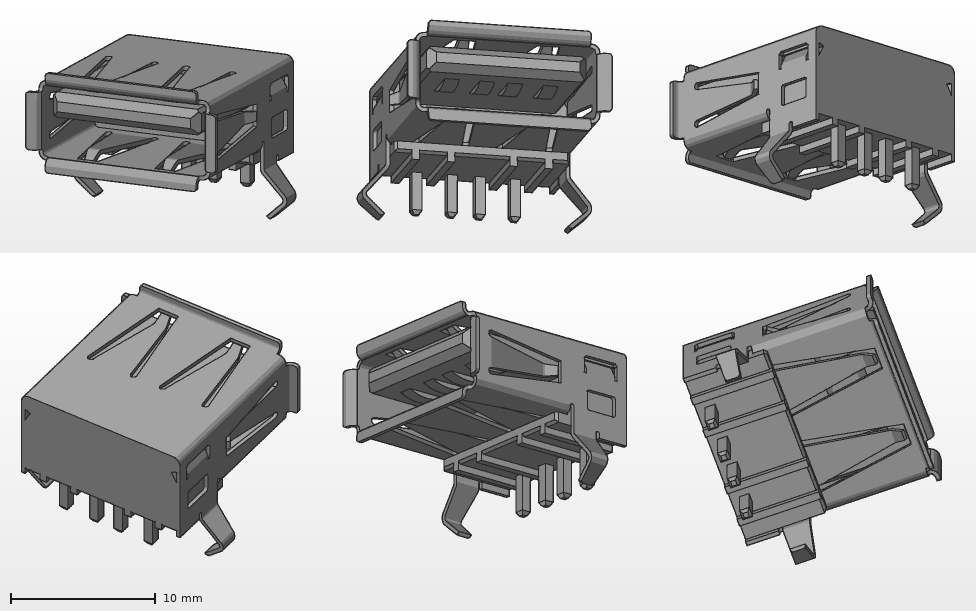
import cadquery as cq
import math


sheet = 0.3
half_width = 6.55
shell_top = 6.95
shell_bottom = 1.24
shell_front = 0.65
rear = 14.0
bend_radius = 0.6
inner_bend_radius = bend_radius - sheet
bottom_plate_rear = 9.0
mid_z = (shell_top + shell_bottom) / 2
half_height = (shell_top - shell_bottom) / 2
inner_half_width = half_width - sheet
inner_top = shell_top - sheet

flange_rise = 0.72
flange_outer_radius = shell_front
flange_inner_radius = flange_outer_radius - sheet
flange_root_fillet = 0.2
flange_corner_radius = 0.25
flange_overlap = 0.2
wide_flange_half = 5.78
side_flange_half = 2.07

slot_end_radius = 0.24
spring_root = 0.3
spring_tip_rise = 0.55
spring_bend_radius = 0.4
wide_hinge_y = 8.0
wide_spring_x = 2.97
side_hinge_y = 1.97

relief_width = 0.3
relief_top = 1.98
notch_top = 0.47
window_y = (10.5, 13.0)
window_z = (1.86, 3.36)
window_corner = 0.2
latch_window_y = (10.26, 13.17)
latch_window_z = (4.58, 5.83)
latch_window_chamfer = 0.2
latch_gap = 0.19
latch_lean = math.radians(30)
latch_bend_z = 4.78
latch_length = 0.82
latch_pocket_top = 5.64
latch_bend_radius = 0.5

leg_half_span = 8.16
leg_bottom = -3.74
leg_y = (9.3, 11.28)
leg_bend_z = -0.15
leg_bend_radius = 0.3
leg_lean = math.radians(41.3)
leg_elbow_radius = 0.6
leg_tip_half = 0.53
leg_tip_chamfer = 0.12

base_front = 8.0
base_bottom = 0.48
base_chamfer = 0.2
rib_x = (2.22, 4.74)
rib_width = 0.54
tongue_half_width = 5.66
tongue_z = (4.29, 6.12)
tongue_front = 0.55
tongue_edge_chamfer = 0.28
tongue_lead_in = 0.55

contact_x = (-3.5, -1.0, 1.0, 3.5)
contact_width = 1.04
contact_bottom = 3.92
contact_y = (2.5, 5.5)
pin_width = 0.72
pin_y = 12.98
pin_bottom = -2.5
pin_tip_length = 0.28
pin_tip_width = 0.36


def box(x, y, z):
    """Axis-aligned box from (low, high) ranges."""
    size = (x[1] - x[0], y[1] - y[0], z[1] - z[0])
    return cq.Workplane("XY").box(*size, centered=False).translate((x[0], y[0], z[0]))


def both_sides(solid):
    """The solid together with its mirror image across X = 0."""
    return solid.union(solid.mirror("YZ"))


def extrude_xz(points, y):
    """Prism along Y with an XZ outline."""
    return cq.Workplane("XZ", origin=(0, y[0], 0)).polyline(points).close().extrude(y[0] - y[1])


def offset_path(points, distance):
    """Parallel path to the right of an open path, mitred at its corners."""
    normals = []
    for (x0, z0), (x1, z1) in zip(points, points[1:]):
        length = math.hypot(x1 - x0, z1 - z0)
        normals.append(((z1 - z0) / length, (x0 - x1) / length))
    before = [normals[0]] + normals
    after = normals + [normals[-1]]
    parallel = []
    for (x, z), a, b in zip(points, before, after):
        scale = distance / (1 + a[0] * b[0] + a[1] * b[1])
        parallel.append((x + (a[0] + b[0]) * scale, z + (a[1] + b[1]) * scale))
    return parallel


def sheet_strip(points, y):
    """Bent sheet of constant thickness to the right of an XZ path."""
    outline = points + offset_path(points, sheet)[::-1]
    return extrude_xz(outline, y)


def round_bend(strip, corner, radius):
    """Round the edge of a strip that runs along Y through an XZ corner."""
    reach = sheet / 4
    near = cq.selectors.BoxSelector(
        (corner[0] - reach, -rear, corner[1] - reach),
        (corner[0] + reach, rear, corner[1] + reach),
    )
    return strip.edges("|Y").edges(near).fillet(radius)


def rounded_tube(half_x, half_z, radius, y):
    """Rounded rectangular bar along Y, centred on the shell's mouth."""
    bar = box((-half_x, half_x), y, (mid_z - half_z, mid_z + half_z))
    return bar.edges("|Y").fillet(radius)


def shell_walls():
    front_range = (shell_front, bottom_plate_rear)
    front = rounded_tube(half_width, half_height, bend_radius, front_range)
    front = front.cut(rounded_tube(inner_half_width, half_height - sheet, inner_bend_radius, front_range))
    rear_range = (bottom_plate_rear, rear)
    back = box((-half_width, half_width), rear_range, (0, shell_top))
    back = back.edges("|Y and >Z").fillet(bend_radius)
    hollow = box((-inner_half_width, inner_half_width), rear_range, (0, inner_top))
    back = back.cut(hollow.edges("|Y and >Z").fillet(inner_bend_radius))
    return front.union(back)


def flange(outer_z, half_length):
    """Flange curling upward from a horizontal wall whose outer face is at outer_z."""
    inner_z = outer_z - sheet
    bend_z = inner_z + flange_outer_radius
    tip_z = outer_z + flange_rise
    root_y = shell_front + flange_overlap
    diagonal = math.sqrt(0.5)
    profile = (
        cq.Workplane("YZ", origin=(-half_length, 0, 0))
        .moveTo(root_y, inner_z)
        .lineTo(shell_front, inner_z)
        .threePointArc(
            (shell_front - flange_outer_radius * diagonal, bend_z - flange_outer_radius * diagonal),
            (shell_front - flange_outer_radius, bend_z),
        )
        .lineTo(0, tip_z)
        .lineTo(sheet, tip_z)
        .lineTo(sheet, bend_z)
        .threePointArc(
            (shell_front - flange_inner_radius * diagonal, bend_z - flange_inner_radius * diagonal),
            (shell_front, outer_z),
        )
        .lineTo(root_y, outer_z)
        .close()
    )
    lip = profile.extrude(2 * half_length).edges("|Y and >Z").fillet(flange_corner_radius)
    root_half = half_length + flange_root_fillet
    root = box((-root_half, root_half), (shell_front - flange_root_fillet, shell_front), (inner_z, outer_z))
    for side in (-1, 1):
        corner = (side * root_half, shell_front - flange_root_fillet)
        scoop = cq.Workplane("XY", origin=(*corner, inner_z)).circle(flange_root_fillet).extrude(sheet)
        root = root.cut(scoop)
    return lip.union(root)


def about_mouth(solid, angle):
    """Turn a feature of the top wall around the mouth's axis."""
    return solid.rotate((0, 0, mid_z), (0, 1, mid_z), angle)


def all_flanges():
    top = flange(shell_top, wide_flange_half)
    side = flange(mid_z + half_width, side_flange_half)
    flanges = top.union(about_mouth(top, 180))
    return flanges.union(about_mouth(side, 90)).union(about_mouth(side, -90))


def spring_parts(root_half, bend, bend_half, tip, depth, slot_length, slot_root_half, slot_end_half):
    """Slot cutter and bent spring, hinged at the origin, running along +X, outer face at Z = 0."""
    slot_outline = [
        (0, slot_root_half),
        (slot_length, slot_end_half),
        (slot_length, -slot_end_half),
        (0, -slot_root_half),
    ]
    end_centre = slot_root_half - slot_end_radius
    level = cq.Workplane("XY", origin=(0, 0, -sheet))
    slot = level.polyline(slot_outline).close().extrude(sheet)
    ends = level.pushPoints([(0, end_centre), (0, -end_centre)]).circle(slot_end_radius).extrude(sheet)
    slot = slot.union(ends)

    path = [(-spring_root, 0), (0, 0), (bend, -depth), (tip, spring_tip_rise - depth)]
    tongue = sheet_strip(path, (-root_half, root_half))
    tongue = round_bend(tongue, path[2], spring_bend_radius)
    tongue = round_bend(tongue, offset_path(path, sheet)[2], spring_bend_radius + sheet)
    taper = (root_half - bend_half) / bend
    reach = tip + sheet
    reach_half = root_half - taper * reach
    plan = [
        (-spring_root, root_half),
        (0, root_half),
        (reach, reach_half),
        (reach, -reach_half),
        (0, -root_half),
        (-spring_root, -root_half),
    ]
    height = 2 * (depth + sheet)
    outline = cq.Workplane("XY", origin=(0, 0, -height / 2)).polyline(plan).close().extrude(height)
    return slot, tongue.intersect(outline)


def add_springs(shell):
    wide = spring_parts(
        root_half=1.53, bend=6.0, bend_half=0.48, tip=6.72, depth=0.51,
        slot_length=7.04, slot_root_half=2.0, slot_end_half=0.8,
    )
    side = spring_parts(
        root_half=1.12, bend=5.08, bend_half=0.45, tip=5.85, depth=0.45,
        slot_length=6.19, slot_root_half=1.62, slot_end_half=0.81,
    )

    def on_wide_walls(solid):
        one = solid.rotate((0, 0, 0), (0, 0, 1), -90).translate((wide_spring_x, wide_hinge_y, shell_top))
        pair = both_sides(one)
        return pair.union(about_mouth(pair, 180))

    def on_side_walls(solid):
        one = solid.rotate((0, 0, 0), (0, 0, 1), 90).translate((0, side_hinge_y, mid_z + half_width))
        return both_sides(about_mouth(one, 90))

    shell = shell.cut(on_wide_walls(wide[0])).cut(on_side_walls(side[0]))
    return shell.union(on_wide_walls(wide[1])).union(on_side_walls(side[1]))


def round_topped_notch(y, top):
    """Cutter through the right wall, open at the bottom and rounded at the top."""
    radius = (y[1] - y[0]) / 2
    centre_z = top - radius
    notch = box((inner_half_width, half_width), y, (0, centre_z))
    arch = cq.Workplane("YZ", origin=(inner_half_width, (y[0] + y[1]) / 2, centre_z))
    return notch.union(arch.circle(radius).extrude(sheet))


def wall_openings():
    wall = (inner_half_width, half_width)
    relief = round_topped_notch((bottom_plate_rear, bottom_plate_rear + relief_width), relief_top)
    notch = round_topped_notch((leg_y[1], leg_y[1] + relief_width), notch_top)
    window = box(wall, window_y, window_z).edges("|X").fillet(window_corner)
    latch_window = box(wall, latch_window_y, latch_window_z)
    latch_window = latch_window.edges("|X and >Z").chamfer(latch_window_chamfer)
    return both_sides(relief.union(notch).union(window).union(latch_window))


def latch_path():
    """Inner face of the latch, from the wall up to its free end."""
    end_x = inner_half_width - latch_length * math.sin(latch_lean)
    end_z = latch_bend_z + latch_length * math.cos(latch_lean)
    return [(inner_half_width, latch_window_z[0] - sheet), (inner_half_width, latch_bend_z), (end_x, end_z)]


def latches():
    y = (latch_window_y[0] + latch_gap, latch_window_y[1] - latch_gap)
    path = latch_path()
    latch = sheet_strip(path, y)
    latch = round_bend(latch, path[1], latch_bend_radius + sheet)
    latch = round_bend(latch, offset_path(path, sheet)[1], latch_bend_radius)
    return both_sides(latch)


def legs():
    cosine = math.cos(leg_lean)
    sine = math.sin(leg_lean)
    elbow_x = leg_half_span + leg_elbow_radius * (cosine + sine - 1)
    elbow_z = leg_bend_z - (elbow_x - half_width) * cosine / sine
    tip_x = elbow_x - (elbow_z - leg_bottom) * cosine / sine
    outer = [(half_width, sheet), (half_width, leg_bend_z), (elbow_x, elbow_z), (tip_x, leg_bottom)]
    strip = sheet_strip(outer, leg_y)
    inner = offset_path(outer, sheet)
    strip = round_bend(strip, outer[1], leg_bend_radius)
    strip = round_bend(strip, inner[1], leg_bend_radius + sheet)
    strip = round_bend(strip, outer[2], leg_elbow_radius)
    strip = round_bend(strip, inner[2], leg_elbow_radius - sheet)
    mid_y = (leg_y[0] + leg_y[1]) / 2
    side_view = [
        (leg_y[0], sheet),
        (leg_y[0], leg_bend_z),
        (mid_y - leg_tip_half, leg_bottom),
        (mid_y + leg_tip_half, leg_bottom),
        (leg_y[1], leg_bend_z),
        (leg_y[1], sheet),
    ]
    taper = cq.Workplane("YZ").polyline(side_view).close().extrude(elbow_x)
    taper = taper.edges("|X and <Z").chamfer(leg_tip_chamfer)
    return both_sides(strip.intersect(taper))


def insulator():
    across = (-inner_half_width, inner_half_width)
    body = rounded_tube(inner_half_width, half_height - sheet, inner_bend_radius, (bottom_plate_rear, rear))
    body = body.union(box(across, (bottom_plate_rear, rear), (base_bottom, mid_z)))
    path = latch_path()
    groove_ceiling = [
        (inner_half_width - sheet / 2, latch_pocket_top),
        (inner_half_width, latch_pocket_top),
    ]
    groove = path[1:] + groove_ceiling
    body = body.cut(both_sides(extrude_xz(groove, (bottom_plate_rear, rear))))

    base = box(across, (base_front, rear), (base_bottom, shell_bottom))
    base = base.faces("<Y").edges("|Z or <Z").chamfer(base_chamfer)
    body = body.union(base)
    for x in rib_x:
        rib = box((x - rib_width / 2, x + rib_width / 2), (base_front, rear), (0, shell_bottom))
        body = body.union(both_sides(rib))

    tongue = box((-tongue_half_width, tongue_half_width), (tongue_front, bottom_plate_rear), tongue_z)
    bevelled_bar = tongue.edges("|Y").chamfer(tongue_edge_chamfer)
    tongue = tongue.faces("<Y").chamfer(tongue_lead_in).intersect(bevelled_bar)
    return body.union(tongue)


def contacts():
    """Spring contacts bulging under the tongue and the solder pins behind them."""
    contact_mid_y = sum(contact_y) / 2
    contact = (
        cq.Workplane("YZ", origin=(-contact_width / 2, 0, 0))
        .moveTo(contact_y[0], tongue_z[0])
        .threePointArc((contact_mid_y, contact_bottom), (contact_y[1], tongue_z[0]))
        .close()
        .extrude(contact_width)
    )
    shank_bottom = pin_bottom + pin_tip_length
    shank = cq.Workplane("XY", origin=(0, pin_y, shank_bottom)).rect(pin_width, pin_width)
    shank = shank.extrude(shell_bottom - shank_bottom)
    tip = cq.Workplane("XY", origin=(0, pin_y, shank_bottom)).rect(pin_width, pin_width)
    tip = tip.workplane(offset=-pin_tip_length).rect(pin_tip_width, pin_tip_width).loft()
    contact = contact.union(shank).union(tip)
    row = contact.translate((contact_x[0], 0, 0))
    for x in contact_x[1:]:
        row = row.union(contact.translate((x, 0, 0)))
    return row


shell = shell_walls().union(all_flanges())
shell = add_springs(shell).cut(wall_openings()).union(latches()).union(legs())
result = shell.union(insulator()).union(contacts())